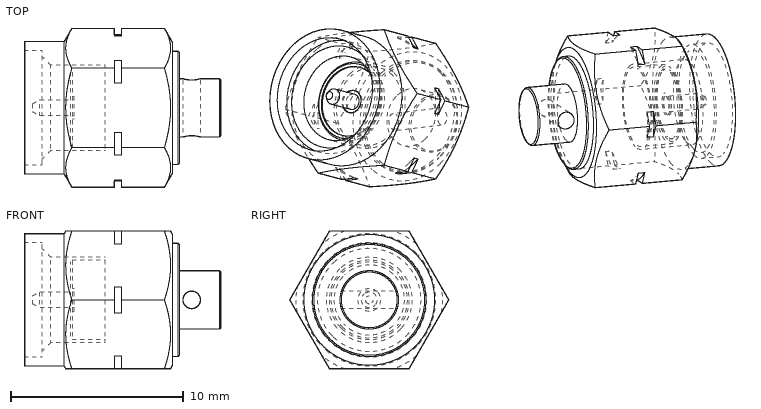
import cadquery as cq
import math


total_length = 11.4
collar_length = 2.3
nut_end = 8.6
flange_end = 9.0

nut_sides = 6
across_flats = 8.0
collar_radius = 3.85
flange_radius = 3.3
tail_radius = 1.7
edge_chamfer = 0.08

nut_rear_radius = 3.8
corner_angle = 30.0

groove_center = 5.42
groove_width = 0.4
groove_radius = 4.25

cross_hole_center = 9.7
cross_hole_diameter = 1.0

mouth_radius = 3.33
mouth_depth = 1.0
cone_radius = 3.0
socket_radius = 2.49
socket_depth = 4.67

sleeve_face = 2.68
sleeve_radius = 2.31
sleeve_bore_radius = 2.04
small_step = 0.1

pin_radius = 0.46
pin_tip_radius = 0.23
pin_tip = 0.47
pin_tip_length = 0.4
pin_clearance_radius = 0.66

nut_corner_radius = across_flats / 2 / math.cos(math.pi / nut_sides)
insulator_face = sleeve_face + small_step
clearance_floor = insulator_face + small_step


def revolve_profile(points):
    """Turn a closed outline of (X, radius) points about the X axis."""
    outline = cq.Workplane("XY").polyline(points).close()
    return outline.revolve(360, (0, 0, 0), (1, 0, 0))


def cylinder(start, end, radius):
    """Solid cylinder on the X axis."""
    return cq.Workplane("YZ", origin=(start, 0, 0)).circle(radius).extrude(end - start)


def corner_cone_length(end_radius):
    """Axial length of the cone from a nut corner down to the end radius."""
    return (nut_corner_radius - end_radius) * math.tan(math.radians(corner_angle))


def make_nut():
    """Hexagon with coned corners and a groove, its corners pointing along Y."""
    nut_length = nut_end - collar_length
    hexagon = (
        cq.Workplane("YZ", origin=(collar_length, 0, 0))
        .polygon(nut_sides, 2 * nut_corner_radius)
        .extrude(nut_length)
    )
    turned_envelope = revolve_profile([
        (collar_length, 0),
        (collar_length, collar_radius),
        (collar_length + corner_cone_length(collar_radius), nut_corner_radius),
        (nut_end - corner_cone_length(nut_rear_radius), nut_corner_radius),
        (nut_end, nut_rear_radius),
        (nut_end, 0),
    ])
    groove_start = groove_center - groove_width / 2
    groove_end = groove_center + groove_width / 2
    groove_ring = cylinder(groove_start, groove_end, across_flats).cut(
        cylinder(groove_start, groove_end, groove_radius)
    )
    return hexagon.intersect(turned_envelope).cut(groove_ring)


def make_socket():
    """Open space of the stepped socket, before the sleeve and pin are added."""
    cone_end = mouth_depth + cone_radius - socket_radius
    return revolve_profile([
        (0, 0),
        (0, mouth_radius),
        (mouth_depth, mouth_radius),
        (mouth_depth, cone_radius),
        (cone_end, socket_radius),
        (socket_depth, socket_radius),
        (socket_depth, 0),
    ])


def make_sleeve_and_pin():
    """Sleeve, recessed insulator and pointed center pin in one turned profile."""
    return revolve_profile([
        (pin_tip, 0),
        (pin_tip, pin_tip_radius),
        (pin_tip + pin_tip_length, pin_radius),
        (clearance_floor, pin_radius),
        (clearance_floor, pin_clearance_radius),
        (insulator_face, pin_clearance_radius),
        (insulator_face, sleeve_bore_radius),
        (sleeve_face, sleeve_bore_radius),
        (sleeve_face, sleeve_radius - small_step),
        (sleeve_face + small_step, sleeve_radius),
        (socket_depth, sleeve_radius),
        (socket_depth, 0),
    ])


def make_tail():
    """Rear flange and cable tail with a hole through it along Y."""
    flange = cylinder(nut_end, flange_end, flange_radius).faces(">X").chamfer(edge_chamfer)
    tail = cylinder(flange_end, total_length, tail_radius).faces(">X").chamfer(edge_chamfer)
    cross_hole = (
        cq.Workplane("XZ")
        .center(cross_hole_center, 0)
        .circle(cross_hole_diameter / 2)
        .extrude(2 * tail_radius, both=True)
    )
    return flange.union(tail.cut(cross_hole))


collar = cylinder(0, collar_length, collar_radius)
body = collar.union(make_nut()).union(make_tail())
result = body.cut(make_socket()).union(make_sleeve_and_pin())